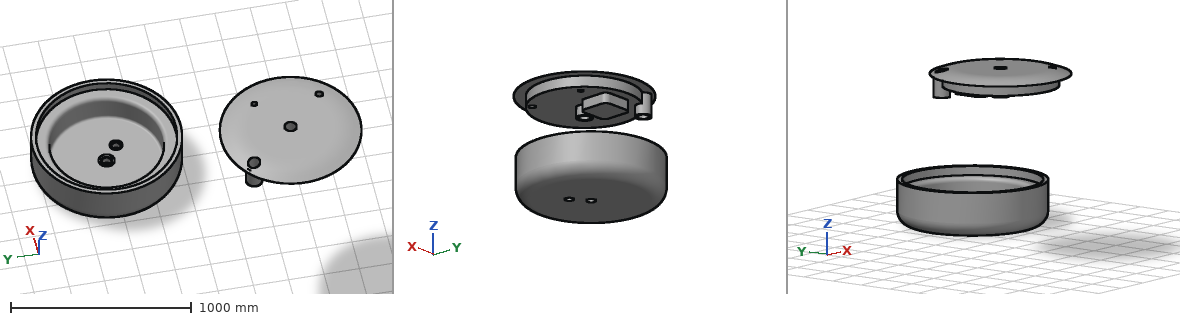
import cadquery as cq
import math

OVERALL_X = 1680.0
OVERALL_Y = 1671.0
OVERALL_Z = 1108.0

BASIN_DIAMETER = 838.0
BASIN_HEIGHT = 254.0
BASIN_BOTTOM_FILLET = 80.0
RECESS_DIAMETER = 783.0
RECESS_DEPTH = 50.0
BOWL_DIAMETER = 635.0
BOWL_DEPTH = 151.0
BOWL_LIP_FILLET = 25.0
BOWL_FLOOR_FILLET = 15.0

SINK_DEPTH = 7.0
CENTER_DRAIN_DIAMETER = 54.0
CENTER_CONE_END_DIAMETER = 62.0
CENTER_SINK_DIAMETER = 89.0
SIDE_DRAIN_DIAMETER = 50.0
SIDE_SINK_DIAMETER = 70.0
SIDE_DRAIN_POSITION = (99.0, -74.0)

LID_DIAMETER = 786.0
DOME_FLAT_DIAMETER = 489.0
DOME_ARC_DIAMETER = 699.0
DOME_RIM_SLOPE = math.radians(18.5)
SKIRT_DIAMETER = 652.0
SKIRT_HEIGHT = 65.0
LID_X = (BASIN_DIAMETER + LID_DIAMETER) / 2 - OVERALL_X
LID_Y = (BASIN_DIAMETER + LID_DIAMETER) / 2 - OVERALL_Y

HANGING_HEIGHT = 62.0
BOSS_DIAMETER = 92.0
BOSS_HOLE_DIAMETER = 67.0
EDGE_BOSS_POSITION = (-208.0, 250.0)
BLOCK_SIDE = 198.0
BLOCK_NEAR_Y = 57.0
BLOCK_CORNER_DIAMETER = 65.0

SMALL_HOLES = [((205.0, 163.0), 30.0), ((205.0, -205.0), 40.0)]

LEDGE_Z = BASIN_HEIGHT - RECESS_DEPTH
FLOOR_Z = LEDGE_Z - BOWL_DEPTH

LID_RADIUS = LID_DIAMETER / 2
FLAT_RADIUS = DOME_FLAT_DIAMETER / 2
ARC_END_RADIUS = DOME_ARC_DIAMETER / 2
DOME_ARC_RADIUS = (ARC_END_RADIUS - FLAT_RADIUS) / math.sin(DOME_RIM_SLOPE)
ARC_DROP = DOME_ARC_RADIUS * (1 - math.cos(DOME_RIM_SLOPE))
CONE_DROP = (LID_RADIUS - ARC_END_RADIUS) * math.tan(DOME_RIM_SLOPE)

LID_TOP_Z = OVERALL_Z
RIM_Z = LID_TOP_Z - ARC_DROP - CONE_DROP
SKIRT_BOTTOM_Z = RIM_Z - SKIRT_HEIGHT
HANGING_BOTTOM_Z = SKIRT_BOTTOM_Z - HANGING_HEIGHT


def cylinder(diameter, bottom_z, top_z, position=(0, 0)):
    """Upright cylinder between two levels."""
    return (
        cq.Workplane("XY", origin=(*position, bottom_z))
        .circle(diameter / 2)
        .extrude(top_z - bottom_z)
    )


def drain_cutter(position, drain_diameter, cone_end_diameter, sink_diameter):
    """Straight hole through the bowl floor, with a cone that widens up to the floor."""
    hole = cylinder(drain_diameter, 0, FLOOR_Z, position)
    sink = (
        cq.Workplane("XY", origin=(*position, FLOOR_Z - SINK_DEPTH))
        .circle(cone_end_diameter / 2)
        .workplane(offset=SINK_DEPTH)
        .circle(sink_diameter / 2)
        .loft()
    )
    return hole.union(sink)


def make_basin():
    """Bowl with a ledge for the lid, a rounded lip and two drains."""
    body = cylinder(BASIN_DIAMETER, 0, BASIN_HEIGHT).faces("<Z").edges().fillet(BASIN_BOTTOM_FILLET)
    bowl = cylinder(BOWL_DIAMETER, FLOOR_Z, LEDGE_Z).faces("<Z").edges().fillet(BOWL_FLOOR_FILLET)
    body = body.cut(cylinder(RECESS_DIAMETER, LEDGE_Z, BASIN_HEIGHT)).cut(bowl)

    ledge = body.faces(cq.selectors.NearestToPointSelector((0, RECESS_DIAMETER / 2, LEDGE_Z)))
    body = ledge.edges(cq.selectors.RadiusNthSelector(0)).fillet(BOWL_LIP_FILLET)

    center_drain = drain_cutter(
        (0, 0), CENTER_DRAIN_DIAMETER, CENTER_CONE_END_DIAMETER, CENTER_SINK_DIAMETER
    )
    side_drain = drain_cutter(
        SIDE_DRAIN_POSITION, SIDE_DRAIN_DIAMETER, SIDE_DRAIN_DIAMETER, SIDE_SINK_DIAMETER
    )
    return body.cut(center_drain).cut(side_drain)


def make_dome():
    """Solid dome with a flat underside and a sharp rim."""
    half_slope = DOME_RIM_SLOPE / 2
    arc_middle = (
        FLAT_RADIUS + DOME_ARC_RADIUS * math.sin(half_slope),
        LID_TOP_Z - DOME_ARC_RADIUS * (1 - math.cos(half_slope)),
    )
    return (
        cq.Workplane("XZ")
        .moveTo(0, RIM_Z)
        .lineTo(LID_RADIUS, RIM_Z)
        .lineTo(ARC_END_RADIUS, LID_TOP_Z - ARC_DROP)
        .threePointArc(arc_middle, (FLAT_RADIUS, LID_TOP_Z))
        .lineTo(0, LID_TOP_Z)
        .close()
        .revolve(360, (0, 0, 0), (0, 1, 0))
    )


def make_block():
    """Square block with rounded corners below the skirt."""
    return (
        cq.Workplane("XY", origin=(0, BLOCK_NEAR_Y + BLOCK_SIDE / 2, HANGING_BOTTOM_Z))
        .rect(BLOCK_SIDE, BLOCK_SIDE)
        .extrude(HANGING_HEIGHT)
        .edges("|Z")
        .fillet(BLOCK_CORNER_DIAMETER / 2)
    )


def make_lid():
    """Dome, skirt, block and bosses in one solid, drilled and moved to its place."""
    boss_positions = [(0, 0), EDGE_BOSS_POSITION]
    body = make_dome().union(cylinder(SKIRT_DIAMETER, SKIRT_BOTTOM_Z, RIM_Z)).union(make_block())
    for position in boss_positions:
        body = body.union(cylinder(BOSS_DIAMETER, HANGING_BOTTOM_Z, RIM_Z, position))

    boss_holes = [(position, BOSS_HOLE_DIAMETER) for position in boss_positions]
    for position, diameter in boss_holes + SMALL_HOLES:
        body = body.cut(cylinder(diameter, HANGING_BOTTOM_Z, LID_TOP_Z, position))
    return body.translate((LID_X, LID_Y, 0))


basin = make_basin()
lid = make_lid()
result = cq.Compound.makeCompound([basin.val(), lid.val()])